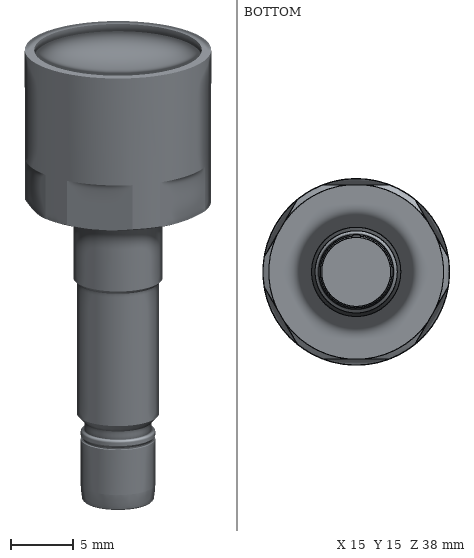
import cadquery as cq
import math

total_height = 38.0

head_radius = 15.0 / 2
head_height = 13.0
head_base = total_height - head_height
head_chamfer_height = 0.23
head_base_radius = 7.03
recess_radius = 13.5 / 2
recess_depth = 0.6

flat_count = 6
flat_width = 5.4
flat_height = 3.95
flat_distance = math.sqrt(head_radius**2 - (flat_width / 2) ** 2)

collar_radius = 7.2 / 2
shank_radius = 6.6 / 2
neck_radius = 5.4 / 2
collar_bottom = 18.75
shank_top = collar_bottom - (collar_radius - shank_radius)
shank_bottom = 7.25
neck_top = 6.6

plug_radius = 6.0 / 2
ring_top = 5.93
ring_bottom = 5.47
ring_rounding = 0.2
groove_radius = 2.77
groove_top = ring_bottom - (plug_radius - groove_radius)
plug_top = 5.13
tip_height = 1.33
tip_radius = 2.9
tip_chamfer = 0.1
crown_height = tip_height - tip_chamfer
crown_inset = plug_radius - tip_radius
crown_arc_radius = (crown_height**2 + crown_inset**2) / (2 * crown_inset)
crown_half_angle = math.asin(crown_height / crown_arc_radius) / 2
crown_middle_radius = plug_radius - crown_arc_radius * (1 - math.cos(crown_half_angle))
crown_middle_height = tip_height - crown_arc_radius * math.sin(crown_half_angle)


def make_head():
    profile = [
        (0, head_base),
        (head_base_radius, head_base),
        (head_radius, head_base + head_chamfer_height),
        (head_radius, total_height),
        (recess_radius, total_height),
        (recess_radius, total_height - recess_depth),
        (0, total_height - recess_depth),
    ]
    return cq.Workplane("XZ").polyline(profile).close().revolve(360, (0, 0), (0, 1))


def cut_wrench_flats(head):
    cutter_depth = head_radius
    cutter = cq.Workplane("XY").box(
        2 * head_radius, cutter_depth, flat_height, centered=(True, False, False)
    ).translate((0, -flat_distance - cutter_depth, head_base))
    for index in range(flat_count):
        angle = index * 360 / flat_count
        head = head.cut(cutter.rotate((0, 0, 0), (0, 0, 1), angle))
    return head


def make_stem():
    profile = (
        cq.Workplane("XZ")
        .moveTo(0, 0)
        .lineTo(tip_radius - tip_chamfer, 0)
        .lineTo(tip_radius, tip_chamfer)
        .threePointArc((crown_middle_radius, crown_middle_height), (plug_radius, tip_height))
        .lineTo(plug_radius, plug_top)
        .lineTo(groove_radius, plug_top)
        .lineTo(groove_radius, groove_top)
        .lineTo(plug_radius, ring_bottom)
        .lineTo(plug_radius, ring_top - ring_rounding)
        .radiusArc((plug_radius - ring_rounding, ring_top), -ring_rounding)
        .lineTo(neck_radius, ring_top)
        .lineTo(neck_radius, neck_top)
        .lineTo(shank_radius, shank_bottom)
        .lineTo(shank_radius, shank_top)
        .lineTo(collar_radius, collar_bottom)
        .lineTo(collar_radius, head_base)
        .lineTo(0, head_base)
        .close()
    )
    return profile.revolve(360, (0, 0), (0, 1))


result = cut_wrench_flats(make_head()).union(make_stem())